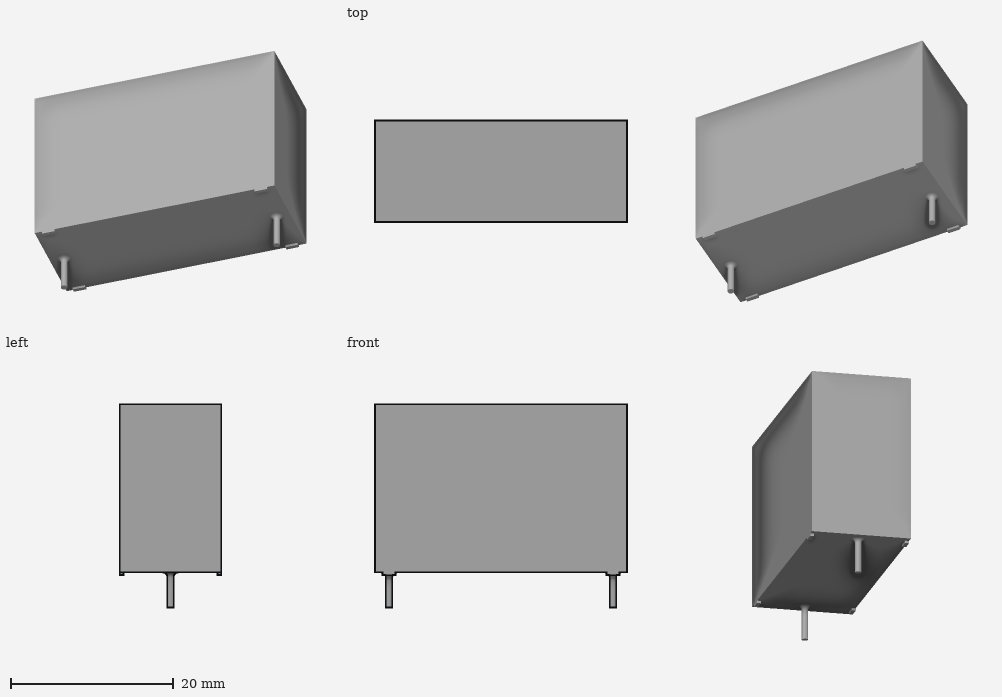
import cadquery as cq

body_length = 31.0
body_width = 12.5
total_height = 25.0

pin_diameter = 0.8
pin_spacing = 27.5
pin_length = 4.3
flare_radius = 0.53

foot_length = 1.6
foot_width = 0.5
foot_height = 0.3

body_height = total_height - pin_length
pin_positions = [(-pin_spacing / 2, 0), (pin_spacing / 2, 0)]


def make_body():
    """Plain box with its underside at Z = 0."""
    return cq.Workplane("XY").box(body_length, body_width, body_height, centered=(True, True, False))


def make_pin(x, y):
    """Round pin hanging from the underside, blended into it by a concave flare."""
    pin_radius = pin_diameter / 2
    flare_outer = pin_radius + flare_radius
    half_profile = (
        cq.Workplane("XZ")
        .lineTo(flare_outer, 0)
        .radiusArc((pin_radius, -flare_radius), -flare_radius)
        .lineTo(pin_radius, -pin_length)
        .lineTo(0, -pin_length)
        .close()
    )
    return half_profile.revolve(360, (0, 0, 0), (0, 1, 0)).translate((x, y, 0))


def make_feet():
    """Four rectangular feet, flush with the long sides of the body."""
    foot_spacing = body_width - foot_width
    return (
        cq.Workplane("XY")
        .rarray(pin_spacing, foot_spacing, 2, 2)
        .rect(foot_length, foot_width)
        .extrude(-foot_height)
    )


result = make_body().union(make_feet())
for pin_x, pin_y in pin_positions:
    result = result.union(make_pin(pin_x, pin_y))